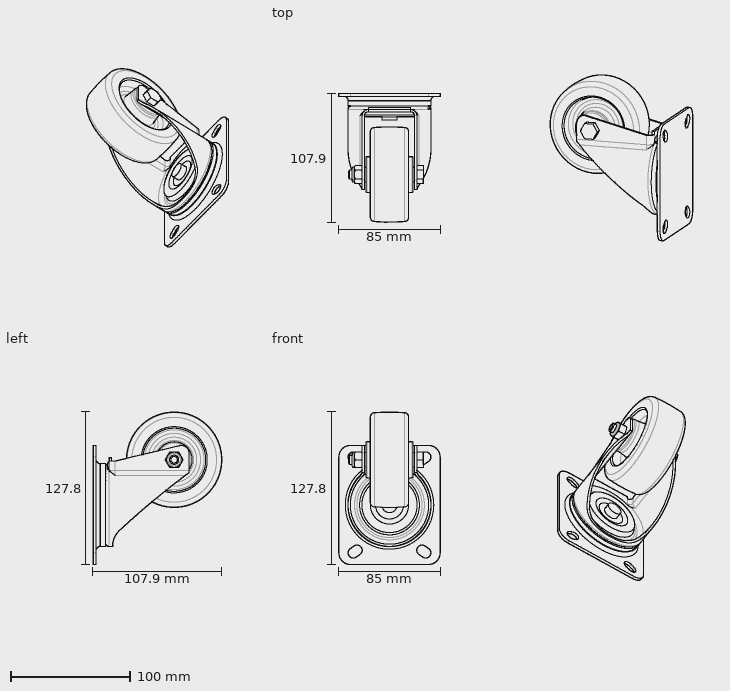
import cadquery as cq
import math


PLATE_WIDTH = 85.0
PLATE_HEIGHT = 100.0
PLATE_THICK = 2.5
PLATE_CORNER_R = 10.0
SLOT_DIAMETER = 8.6
SLOT_X = 28.8
SLOT_Z = 39.0
SLOT_TRAVEL = 3.7
SLOT_ANGLE = 35.0

RACE_R = 34.9
SKIRT_R = 37.1
SKIRT_SAG = 0.5
SKIRT_END = 5.9
GROOVE_R = 34.4
RING_START = 6.4
RING_END = 10.5

SHEET = 2.0
LEG_OUTER_X = 22.9
LEG_BLEND_R = 5.9
LEG_END = 80.4
LEG_CORNER_R = 6.4
WEB_DEPTH = 13.4
BEND_R = 5.1
DISH_EDGE_R = 3.0
DISH_FLARE_R = 36.8
DISH_FLARE_START = 11.9
DISH_INNER_EDGE_R = 3.6
DISH_END = 20.5
WEB_TOP_Z = 39.6
LEG_ROOT_TOP_Z = 36.8
LEG_TIP_TOP_Z = 51.5
LEG_TIP_BOTTOM_Z = 27.1
SKIRT_LIP_DEPTH = 16.5

CROWN_FOOT_R = 28.6
CROWN_FLANK_R = 25.0
CROWN_FLANK_DEPTH = 13.8
CROWN_FLANK_FILLET = 3.8
CROWN_RIM_R = 23.1
CROWN_RIM_DEPTH = 18.0
CROWN_PEAK_R = 20.5
CROWN_PEAK_DEPTH = 19.4
CROWN_INNER_R = 16.0
CROWN_INNER_DEPTH = 18.2
PIN_SEAT_R = 11.8
PIN_SEAT_DEPTH = 16.6
PIN_R = 6.4
PIN_DEPTH = 22.4

OVERALL_DEPTH = 107.9
OVERALL_HEIGHT = 127.8
WHEEL_R = 40.0
WHEEL_HALF_WIDTH = 16.1
TREAD_HALF_WIDTH = 12.5
TREAD_EDGE_R = 39.5
SHOULDER_R = 35.5
SHOULDER_MID_INSET = 1.0
SHOULDER_MID_DROP = 1.2
RIM_MOUTH_R = 27.7
RIM_INNER_R = 26.5
RIM_FOOT_R = 25.0
HUB_R = 15.1
HUB_FOOT_R = 16.2
HUB_HALF_WIDTH = 19.8
HUB_EDGE_R = 1.0
RECESS_HALF_WEB = 5.1
RECESS_HUB_FILLET = 2.7
RECESS_RIM_FILLET = 3.0
SPACER_R = 6.3
HEX_FLATS = 13.0
HEAD_THICK = 5.5
NUT_THICK = 6.3
NUT_CORNER_CHAMFER = 0.6
COLLAR_THICK = 2.0
COLLAR_R = 6.4
COLLAR_EDGE_R = 1.2
BOLT_R = 3.8
BOLT_END_X = 34.3
BOLT_CHAMFER_LENGTH = 1.2
BOLT_CHAMFER_STEP = 0.6

WEB_HALF_WIDTH = LEG_OUTER_X - BEND_R
WEB_FRONT = WEB_DEPTH + SHEET
DISH_FLOOR_DEPTH = RING_END + SHEET
WHEEL_DEPTH = OVERALL_DEPTH - WHEEL_R
WHEEL_Z = OVERALL_HEIGHT - PLATE_HEIGHT / 2 - WHEEL_R
HEX_CORNERS = HEX_FLATS / math.cos(math.radians(30))
BLEND_Z = math.sqrt((RACE_R + LEG_BLEND_R) ** 2 - (LEG_OUTER_X + LEG_BLEND_R) ** 2)


def at_depth(depth):
    """Plane parallel to the plate, with its normal toward -Y."""
    return cq.Workplane("XZ", origin=(0, -depth, 0))


def spin_about_swivel(profile):
    """Revolve a closed profile of X = radius, Y = -depth about the swivel axis."""
    return profile.close().revolve(360, (0, 0, 0), (0, 1, 0))


def spin_about_axle(profile):
    """Revolve a closed profile of X, Y = radius about the X axis."""
    return profile.close().revolve(360, (0, 0, 0), (1, 0, 0))


def mounting_plate():
    plate = at_depth(0).rect(PLATE_WIDTH, PLATE_HEIGHT).extrude(PLATE_THICK)
    plate = plate.edges("|Y").fillet(PLATE_CORNER_R)
    for side_x in (-1, 1):
        for side_z in (-1, 1):
            slot = (
                at_depth(0)
                .center(side_x * SLOT_X, side_z * SLOT_Z)
                .transformed(rotate=(0, 0, side_x * side_z * SLOT_ANGLE))
                .slot2D(SLOT_DIAMETER + SLOT_TRAVEL, SLOT_DIAMETER)
                .extrude(PLATE_THICK)
            )
            plate = plate.cut(slot)
    return plate


def swivel_race():
    """Flared skirt, narrow groove and ball-race ring."""
    skirt_end_r = RACE_R - 0.4
    skirt_mid = ((SKIRT_R + skirt_end_r) / 2 - SKIRT_SAG, -(PLATE_THICK + SKIRT_END) / 2)
    return spin_about_swivel(
        cq.Workplane("XY")
        .moveTo(0, -PLATE_THICK)
        .lineTo(SKIRT_R, -PLATE_THICK)
        .threePointArc(skirt_mid, (skirt_end_r, -SKIRT_END))
        .lineTo(GROOVE_R, -SKIRT_END)
        .lineTo(GROOVE_R, -RING_START)
        .lineTo(RACE_R, -RING_START)
        .lineTo(RACE_R, -RING_END)
        .lineTo(0, -RING_END)
    )


def fork_footprint(start, inset):
    """Round-bottomed U, blended into straight legs and extruded from a depth past the leg ends."""
    round_r = RACE_R - inset
    leg_x = LEG_OUTER_X - inset
    blend_r = LEG_BLEND_R + inset
    centre_x = LEG_OUTER_X + LEG_BLEND_R
    share = round_r / (round_r + blend_r)
    tangent = (centre_x * share, BLEND_Z * share)
    half_angle = math.atan2(BLEND_Z, centre_x) / 2
    blend_mid = (centre_x - blend_r * math.cos(half_angle), BLEND_Z - blend_r * math.sin(half_angle))
    top_z = WHEEL_Z + WHEEL_R
    return (
        at_depth(start)
        .moveTo(-leg_x, top_z)
        .lineTo(-leg_x, BLEND_Z)
        .threePointArc((-blend_mid[0], blend_mid[1]), (-tangent[0], tangent[1]))
        .threePointArc((0, -round_r), tangent)
        .threePointArc(blend_mid, (leg_x, BLEND_Z))
        .lineTo(leg_x, top_z)
        .close()
        .extrude(LEG_END + SHEET - start)
    )


def rounded_disc(start, radius, edge_r):
    """Disc from a depth to DISH_END with a rounded edge on its plate side."""
    disc = at_depth(start).circle(radius).extrude(DISH_END - start)
    return disc.faces(">Y").edges().fillet(edge_r)


def dish_flare():
    """Sloped step between the dish and the web that joins the two legs."""
    inner_r = RACE_R - DISH_EDGE_R
    ring = spin_about_swivel(
        cq.Workplane("XY")
        .moveTo(inner_r, -DISH_FLARE_START)
        .lineTo(RACE_R, -DISH_FLARE_START)
        .lineTo(DISH_FLARE_R, -WEB_DEPTH)
        .lineTo(DISH_FLARE_R, -WEB_FRONT)
        .lineTo(inner_r, -WEB_FRONT)
    )
    web_room = (
        at_depth(RING_END)
        .center(0, BLEND_Z + DISH_FLARE_R / 2)
        .rect(2 * WEB_HALF_WIDTH, DISH_FLARE_R)
        .extrude(DISH_END - RING_END)
    )
    return ring.intersect(web_room)


def fork_side_outline():
    """Side outline of the fork, extruded across both legs."""
    outline = (
        cq.Workplane("YZ", origin=(-SKIRT_R, 0, 0))
        .moveTo(-RING_END, -SKIRT_R)
        .lineTo(-SKIRT_LIP_DEPTH, -SKIRT_R)
        .lineTo(-SKIRT_LIP_DEPTH, -RACE_R)
        .threePointArc((-18.0, -27.1), (-22.0, -21.5))
        .threePointArc((-49.2, 2.5), (-LEG_END, LEG_TIP_BOTTOM_Z))
        .lineTo(-LEG_END, LEG_TIP_TOP_Z)
        .lineTo(-WEB_DEPTH - BEND_R, LEG_ROOT_TOP_Z)
        .lineTo(-RING_END, LEG_ROOT_TOP_Z)
        .close()
        .extrude(2 * SKIRT_R)
    )
    return outline.edges("|X").edges("<Y").edges(">Z").fillet(LEG_CORNER_R)


def web_tab():
    """Flat tab standing above the web between the two bends."""
    tab_bottom_z = RACE_R
    tab_height = WEB_TOP_Z - tab_bottom_z
    return (
        at_depth(WEB_DEPTH)
        .center(0, tab_bottom_z + tab_height / 2)
        .rect(2 * WEB_HALF_WIDTH, tab_height)
        .extrude(SHEET)
    )


def fork():
    shell = fork_footprint(WEB_DEPTH, 0).faces(">Y").edges("|Z").fillet(BEND_R)
    dish = rounded_disc(RING_END, RACE_R, DISH_EDGE_R)
    hollow = fork_footprint(WEB_FRONT, SHEET).faces(">Y").edges("|Z").fillet(BEND_R - SHEET)
    dish_hollow = rounded_disc(DISH_FLOOR_DEPTH, RACE_R - SHEET, DISH_INNER_EDGE_R)
    body = shell.union(dish).union(dish_flare()).cut(hollow).cut(dish_hollow)
    return body.intersect(fork_side_outline()).union(web_tab())


def crown_and_kingpin():
    crown = spin_about_swivel(
        cq.Workplane("XY")
        .moveTo(0, -RING_END)
        .lineTo(CROWN_FOOT_R, -RING_END)
        .lineTo(CROWN_FOOT_R, -DISH_FLOOR_DEPTH)
        .radiusArc((CROWN_FLANK_R, -CROWN_FLANK_DEPTH), -CROWN_FLANK_FILLET)
        .lineTo(CROWN_RIM_R, -CROWN_RIM_DEPTH)
        .threePointArc((CROWN_PEAK_R, -CROWN_PEAK_DEPTH), (CROWN_INNER_R, -CROWN_INNER_DEPTH))
        .lineTo(PIN_SEAT_R, -PIN_SEAT_DEPTH)
        .lineTo(0, -PIN_SEAT_DEPTH)
    )
    pin = at_depth(RING_END).circle(PIN_R).extrude(PIN_DEPTH - RING_END)
    return crown.union(pin)


def wheel():
    """Crowned wheel with a recess on each side, centred on the origin."""
    shoulder_mid = (WHEEL_HALF_WIDTH - SHOULDER_MID_INSET, TREAD_EDGE_R - SHOULDER_MID_DROP)
    blank = spin_about_axle(
        cq.Workplane("XY")
        .moveTo(-WHEEL_HALF_WIDTH, 0)
        .lineTo(-WHEEL_HALF_WIDTH, SHOULDER_R)
        .threePointArc((-shoulder_mid[0], shoulder_mid[1]), (-TREAD_HALF_WIDTH, TREAD_EDGE_R))
        .threePointArc((0, WHEEL_R), (TREAD_HALF_WIDTH, TREAD_EDGE_R))
        .threePointArc(shoulder_mid, (WHEEL_HALF_WIDTH, SHOULDER_R))
        .lineTo(WHEEL_HALF_WIDTH, 0)
    )
    mouth_edge = RIM_MOUTH_R - RIM_INNER_R
    recess = spin_about_axle(
        cq.Workplane("XY")
        .moveTo(WHEEL_HALF_WIDTH, HUB_R)
        .lineTo(RECESS_HALF_WEB + RECESS_HUB_FILLET, HUB_FOOT_R)
        .radiusArc((RECESS_HALF_WEB, HUB_FOOT_R + RECESS_HUB_FILLET), RECESS_HUB_FILLET)
        .lineTo(RECESS_HALF_WEB, RIM_FOOT_R - RECESS_RIM_FILLET)
        .radiusArc((RECESS_HALF_WEB + RECESS_RIM_FILLET, RIM_FOOT_R), RECESS_RIM_FILLET)
        .lineTo(WHEEL_HALF_WIDTH - mouth_edge, RIM_INNER_R)
        .lineTo(WHEEL_HALF_WIDTH, RIM_MOUTH_R)
    )
    hub = cq.Workplane("YZ").circle(HUB_R).extrude(HUB_HALF_WIDTH, both=True)
    hub = hub.faces("<X or >X").edges().fillet(HUB_EDGE_R)
    return blank.cut(recess).cut(recess.mirror("YZ")).union(hub)


def hexagon(start_x, length):
    """Hexagonal prism along X with two flats facing up and down."""
    return cq.Workplane("YZ", origin=(start_x, 0, 0)).polygon(6, HEX_CORNERS).extrude(length)


def axle():
    """Spacer, bolt head, shank end and collared lock nut, centred on the origin."""
    nut_end = LEG_OUTER_X + NUT_THICK
    spacer = cq.Workplane("YZ").circle(SPACER_R).extrude(LEG_OUTER_X, both=True)
    head = hexagon(LEG_OUTER_X, HEAD_THICK)
    nut_blank = cq.Workplane("YZ", origin=(-nut_end, 0, 0)).circle(HEX_CORNERS / 2).extrude(NUT_THICK)
    nut = hexagon(-nut_end, NUT_THICK).intersect(nut_blank.edges().chamfer(NUT_CORNER_CHAMFER))
    collar = cq.Workplane("YZ", origin=(-nut_end, 0, 0)).circle(COLLAR_R).extrude(-COLLAR_THICK)
    collar = collar.faces("<X").edges().fillet(COLLAR_EDGE_R)
    shank = cq.Workplane("YZ").circle(BOLT_R).extrude(-BOLT_END_X)
    shank = shank.faces("<X").chamfer(BOLT_CHAMFER_STEP, BOLT_CHAMFER_LENGTH)
    return spacer.union(head).union(nut).union(collar).union(shank)


rolling_parts = wheel().union(axle()).translate((0, -WHEEL_DEPTH, WHEEL_Z))

result = (
    mounting_plate()
    .union(swivel_race())
    .union(fork())
    .union(crown_and_kingpin())
    .union(rolling_parts)
)